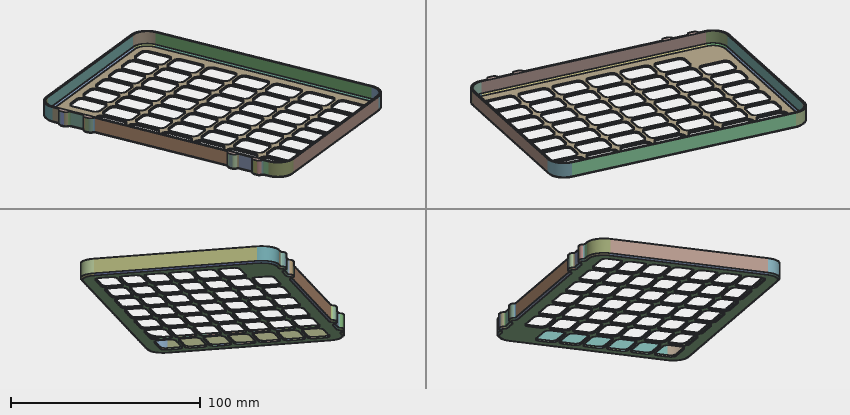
import cadquery as cq
import math

LENGTH = 151.0
WIDTH = 108.0
HEIGHT = 9.0
CORNER_RADIUS = 9.5
WALL = 1.0
FLOOR = 1.0
BEVEL = 1.0

COLUMNS = 7
ROWS = 7
GRID_LENGTH = 138.0
GRID_WIDTH = 92.4
WINDOW_LENGTH = 18.0
WINDOW_WIDTH = 12.0
WINDOW_RADIUS = 3.0
COLUMN_PITCH = (GRID_LENGTH - WINDOW_LENGTH) / (COLUMNS - 1)
ROW_PITCH = (GRID_WIDTH - WINDOW_WIDTH) / (ROWS - 1)

RIB_DEPTH = 2.0
RIB_TIP = 2.1
RIB_SHOULDER_RADIUS = 2.0
RIB_ROOT_RADIUS = 1.0
RIB_INNER_X = 44.0
RIB_PITCH = 15.1
RIB_CENTRES = [
    -RIB_INNER_X - RIB_PITCH,
    -RIB_INNER_X,
    RIB_INNER_X,
    RIB_INNER_X + RIB_PITCH,
]


def add_rib(outline, centre_x):
    """Extend an outline running in +X along the front wall around one rib."""
    radius_sum = RIB_SHOULDER_RADIUS + RIB_ROOT_RADIUS
    turn = math.acos(1 - RIB_DEPTH / radius_sum)
    tip_half = RIB_TIP / 2
    blend_half = tip_half + RIB_SHOULDER_RADIUS * math.sin(turn)
    root_half = tip_half + radius_sum * math.sin(turn)
    root_y = -WIDTH / 2
    tip_y = root_y - RIB_DEPTH
    blend_y = root_y - RIB_ROOT_RADIUS * (1 - math.cos(turn))
    return (
        outline.lineTo(centre_x - root_half, root_y)
        .tangentArcPoint((centre_x - blend_half, blend_y), relative=False)
        .tangentArcPoint((centre_x - tip_half, tip_y), relative=False)
        .lineTo(centre_x + tip_half, tip_y)
        .tangentArcPoint((centre_x + blend_half, blend_y), relative=False)
        .tangentArcPoint((centre_x + root_half, root_y), relative=False)
    )


def make_body():
    """Solid block with rounded corners, front ribs and a bevelled underside edge."""
    half_length = LENGTH / 2
    half_width = WIDTH / 2
    straight_x = half_length - CORNER_RADIUS
    straight_y = half_width - CORNER_RADIUS
    outline = cq.Workplane("XY").moveTo(-straight_x, -half_width)
    for centre_x in RIB_CENTRES:
        outline = add_rib(outline, centre_x)
    outline = (
        outline.lineTo(straight_x, -half_width)
        .tangentArcPoint((half_length, -straight_y), relative=False)
        .lineTo(half_length, straight_y)
        .tangentArcPoint((straight_x, half_width), relative=False)
        .lineTo(-straight_x, half_width)
        .tangentArcPoint((-half_length, straight_y), relative=False)
        .lineTo(-half_length, -straight_y)
        .tangentArcPoint((-straight_x, -half_width), relative=False)
        .close()
    )
    return outline.extrude(HEIGHT).faces("<Z").edges().chamfer(BEVEL)


def make_cavity():
    """Open interior of the tray, bevelled where it meets the floor."""
    return (
        cq.Workplane("XY")
        .workplane(offset=FLOOR)
        .rect(LENGTH - 2 * WALL, WIDTH - 2 * WALL)
        .extrude(HEIGHT - FLOOR)
        .edges("|Z")
        .fillet(CORNER_RADIUS - WALL)
        .faces("<Z")
        .edges()
        .chamfer(BEVEL)
    )


def make_windows():
    """Grid of rounded windows, leaving the front-left cell solid."""
    centres = []
    for row in range(ROWS):
        for column in range(COLUMNS):
            if row == 0 and column == 0:
                continue
            x = (column - (COLUMNS - 1) / 2) * COLUMN_PITCH
            y = (row - (ROWS - 1) / 2) * ROW_PITCH
            centres.append((x, y))
    return (
        cq.Workplane("XY")
        .pushPoints(centres)
        .rect(WINDOW_LENGTH, WINDOW_WIDTH)
        .extrude(FLOOR)
        .edges("|Z")
        .fillet(WINDOW_RADIUS)
    )


result = make_body().cut(make_cavity()).cut(make_windows())